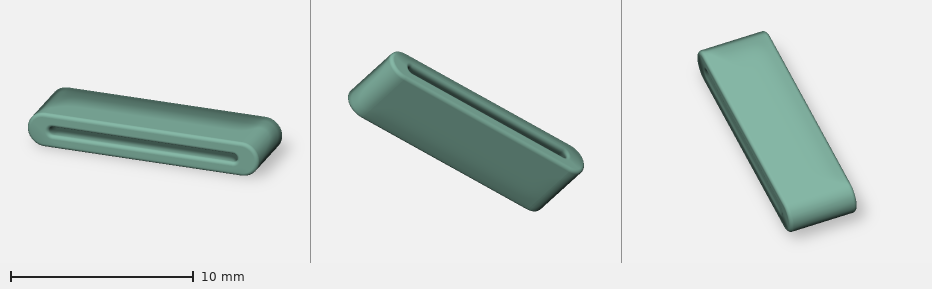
import cadquery as cq

length = 13.5
depth = 4.0
height = 2.0

slot_length = 11.0
slot_height = 0.5

rim_radius = 0.2


def rounded_bar(bar_length, bar_height):
    """Bar with full-round ends, running along Y and centred on the origin."""
    return cq.Workplane("XZ").slot2D(bar_length, bar_height).extrude(depth / 2, both=True)


body = rounded_bar(length, height)
slot = rounded_bar(slot_length, slot_height)

result = body.cut(slot).faces("<Y or >Y").edges().fillet(rim_radius)